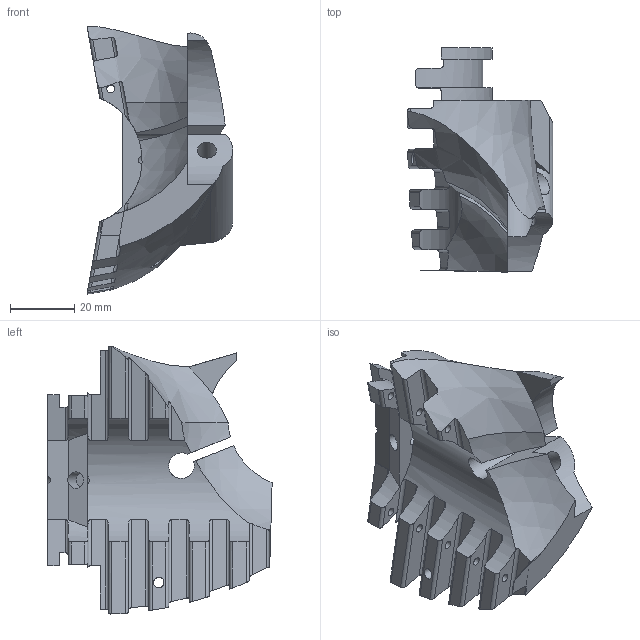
import cadquery as cq
import math


half_length = 35.0
half_height = 41.86
far = 150.0

bore_radius = 20.7
shell_back_y = 18.66
shell_back_radius = 42.0
shell_front_radius = 53.5
shell_front_center_z = 25.0
shell_sections = 5
end_face_tilt = 1.66
end_face_pivot_z = -1.2
flange_radius = 30.2
neck_radius = 27.1
neck_back_y = 31.5

joint_tilt = 10.0
joint_edge_x = 3.5
tooth_depth = 7.85
tooth_width = 6.15
tooth_pitch = 12.6
tooth_count = 6
first_tooth_y = 25.57
tooth_fillet = 1.0
neck_front_y = first_tooth_y - tooth_width / 2
joint_apex_x = joint_edge_x + half_height * math.tan(math.radians(joint_tilt))

web_flat_x = 16.6
web_ridge_x = 14.7
web_bend_y = 28.7

mouth_radius = 38.0
mouth_center_x = 3.4
mouth_center_y = -42.7
mouth_center_z = 19.2
mouth_side_x = 34.75
mouth_join_z = 17.9
mouth_lean = 0.39
mouth_lean_growth = 0.018
mouth_sections = 4
mouth_top_z = 48.0

side_arc_radius = 25.6
side_arc_y = -40.1
side_arc_z = 17.5
horn_root_y = -8.8
horn_root_z = 35.3
horn_rise = 16.0
horn_tip_y = -24.0
horn_mid_x = 40.3
horn_mid_drop = 1.8
horn_side_x = 42.7
horn_side_drop = 5.9
horn_base_x = 45.5
horn_base_drop = 16.0

boss_x = 40.9
boss_radius = 8.15
boss_angle = 34.5
boss_lead = 8.0
boss_length = boss_lead + 39.0
screw_diameter = 6.0

lower_web_reach = 12.0
lower_web_slope = -7.0
side_web_angle = 30.0
side_web_reach = 12.0
side_web_start = 23.0
side_web_end = boss_length + 8.0
bevel_x = 45.3
bevel_y = 11.6

slot_width = 2.9
slot_angle = 21.6
slot_y = -10.4
slot_z = 7.3
slot_length = 50.0
slot_overlap = 3.0
relief_diameter = 8.0
relief_y = -6.7
relief_z = 4.5

tooth_pin_diameter = 2.5
tooth_pin_x = 10.9
tooth_pin_z = 22.2
cross_hole_diameter = 3.3
cross_hole_y = 0.4
cross_hole_z = -32.0
web_hole_diameter = 5.2
web_hole_y = 26.3
web_hole_depth = 9.0
tooth_pin_front_y = -31.0
dimple_radius = 1.65
dimple_x = 17.4


def box(x_range, y_range, z_range):
    """Axis-aligned block between the given limits."""
    size = [limits[1] - limits[0] for limits in (x_range, y_range, z_range)]
    return cq.Workplane("XY").box(*size, centered=False).translate((x_range[0], y_range[0], z_range[0]))


def rod(start, direction, length, radius):
    """Solid cylinder from a start point along a direction."""
    return cq.Workplane(cq.Solid.makeCylinder(radius, length, cq.Vector(*start), cq.Vector(*direction)))


def rod_y(x, z, y_front, y_back, radius):
    return rod((x, y_front, z), (0, 1, 0), y_back - y_front, radius)


def make_shell():
    """Round shell that swells and rises ever faster toward its front end."""
    wires = []
    for index in range(shell_sections):
        travel = index / (shell_sections - 1)
        swell = travel**2
        y = shell_back_y - travel * (shell_back_y + half_length)
        radius = shell_back_radius + swell * (shell_front_radius - shell_back_radius)
        center = cq.Vector(0, y, swell * shell_front_center_z)
        wires.append(cq.Wire.makeCircle(radius, center, cq.Vector(0, -1, 0)))
    return cq.Workplane(cq.Solid.makeLoft(wires))


def make_collar():
    neck = rod_y(0, 0, shell_back_y, half_length, neck_radius)
    front_flange = rod_y(0, 0, shell_back_y, neck_front_y, flange_radius)
    back_flange = rod_y(0, 0, neck_back_y, half_length, flange_radius)
    return neck.union(front_flange).union(back_flange)


def make_rack():
    """Half space behind the toothed joint: a rack tilted one way above the bore, mirrored below."""
    floor = box((tooth_depth, far), (-far, far), (-far, far))
    rack = floor
    for index in range(tooth_count):
        center_y = first_tooth_y - index * tooth_pitch
        side = tooth_width / 2
        tooth = box((0, 2 * tooth_depth), (center_y - side, center_y + side), (-far, far))
        rack = rack.union(tooth.edges("|Z and <X").fillet(tooth_fillet))
    tooth_roots = cq.selectors.BoxSelector(
        (tooth_depth - tooth_fillet, -far / 2, -far), (tooth_depth + tooth_fillet, far / 2, far)
    )
    rack = rack.edges("|Z").edges(tooth_roots).fillet(tooth_fillet)
    rack = rack.rotate((0, 0, 0), (0, 1, 0), -joint_tilt).translate((joint_apex_x, 0, 0))
    upper = rack.intersect(box((-far, far), (-far, far), (0, far)))
    return upper.union(upper.mirror("XY"))


def make_web():
    """Plug across the back of the bore with a ramp that rises to a ridge."""
    profile = [
        (web_ridge_x, neck_front_y),
        (web_flat_x, web_bend_y),
        (web_flat_x, half_length),
        (neck_radius, half_length),
        (neck_radius, neck_front_y),
    ]
    prism = cq.Workplane("XY").polyline(profile).close().extrude(bore_radius, both=True)
    return prism.intersect(rod_y(0, 0, neck_front_y, half_length, bore_radius))


def boss_axis():
    """Start point, short of the concave side face, and direction of the screw axis."""
    angle = math.radians(boss_angle)
    direction = (0, math.cos(angle), -math.sin(angle))
    start_radius = side_arc_radius - boss_lead
    start = (
        boss_x,
        side_arc_y + start_radius * direction[1],
        side_arc_z + start_radius * direction[2],
    )
    return start, direction


def make_lower_web(start, direction):
    """Flat web that runs from the underside of the boss toward the shell."""
    plane = cq.Plane(origin=start, xDir=(1, 0, 0), normal=direction)
    web = cq.Workplane(plane).rect(lower_web_reach, boss_radius, centered=False).extrude(boss_length)
    web = web.translate((-lower_web_reach, 0, 0))
    end = tuple(s + d for s, d in zip(start, direction))
    return web.rotate(start, end, lower_web_slope)


def make_side_web(start, direction):
    """Steep web, tangent to the boss, that fills the corner between boss and shell."""
    angle = math.radians(side_web_angle)
    tangent_x = boss_radius * math.cos(angle)
    tangent_up = boss_radius * math.sin(angle)
    top_x = tangent_x - side_web_reach * math.sin(angle)
    top_up = tangent_up + side_web_reach * math.cos(angle)
    profile = [
        (-boss_radius, 0),
        (tangent_x, 0),
        (tangent_x, tangent_up),
        (top_x, top_up),
        (-boss_radius, top_up),
    ]
    plane = cq.Plane(origin=start, xDir=(-1, 0, 0), normal=direction)
    mirrored = [(-x, up) for x, up in profile]
    web = cq.Workplane(plane).workplane(offset=side_web_start).polyline(mirrored).close()
    return web.extrude(side_web_end - side_web_start)


def make_boss(start, direction):
    """Screw boss with its webs, bevelled where it meets the back of the shell."""
    boss = rod(start, direction, boss_length, boss_radius)
    boss = boss.union(make_lower_web(start, direction)).union(make_side_web(start, direction))
    boss_side_x = boss_x + boss_radius
    outline = [
        (0, -half_length),
        (boss_side_x, -half_length),
        (boss_side_x, bevel_y),
        (bevel_x, shell_back_y),
        (0, shell_back_y),
    ]
    return boss.intersect(cq.Workplane("XY").polyline(outline).close().extrude(far, both=True))


def make_mouth():
    """Ball-shaped hollow that leans backward above its join height."""
    ball = cq.Workplane("XZ").sphere(mouth_radius).rotate((0, 0, 0), (1, 0, 0), 90)
    ball = ball.translate((mouth_center_x, mouth_center_y, mouth_center_z))
    ball = ball.intersect(box((-far, far), (-far, far), (-far, mouth_join_z)))
    join_radius = math.sqrt(mouth_radius**2 - (mouth_center_z - mouth_join_z) ** 2)
    wires = []
    for index in range(mouth_sections):
        rise = (mouth_top_z - mouth_join_z) * index / (mouth_sections - 1)
        y = mouth_center_y + mouth_lean * rise + mouth_lean_growth * rise**2
        center = cq.Vector(mouth_center_x, y, mouth_join_z + rise)
        wires.append(cq.Wire.makeCircle(join_radius, center, cq.Vector(0, 0, 1)))
    funnel = cq.Workplane(cq.Solid.makeLoft(wires))
    above = box((-far, far), (-far, far), (half_height, far))
    hollow = ball.union(funnel).union(above)
    return hollow.intersect(box((-far, mouth_side_x), (-far, far), (-far, far)))


def make_horn_trim():
    """Waste above the horn, whose rounded back climbs toward its tip."""
    profile = (
        cq.Workplane("XZ")
        .moveTo(mouth_side_x, 0)
        .threePointArc((horn_mid_x, -horn_mid_drop), (horn_side_x, -horn_side_drop))
        .lineTo(horn_base_x, -horn_base_drop)
        .lineTo(far, -horn_base_drop)
        .lineTo(far, far)
        .lineTo(mouth_side_x, far)
        .close()
    )
    trim = profile.extrude(half_length).rotate((0, 0, 0), (1, 0, 0), -horn_rise)
    return trim.translate((0, horn_root_y, horn_root_z))


def cut_front(body):
    """Trim the concave side face, the horn and the tilted end face."""
    side = rod((mouth_side_x, side_arc_y, side_arc_z), (1, 0, 0), far, side_arc_radius)
    body = body.cut(side)
    body = body.cut(make_horn_trim())
    body = body.cut(box((-far, far), (-far, horn_tip_y), (side_arc_z, far)))
    beyond_end = box((-far, far), (-far, 0), (-far, far)).rotate((0, 0, 0), (1, 0, 0), end_face_tilt)
    return body.cut(beyond_end.translate((0, -half_length, end_face_pivot_z)))


def cut_slot(body):
    slot = box((-far, far), (-slot_length, slot_overlap), (-slot_width / 2, slot_width / 2))
    slot = slot.rotate((0, 0, 0), (1, 0, 0), -slot_angle).translate((0, slot_y, slot_z))
    relief = rod((0, relief_y, relief_z), (1, 0, 0), far, relief_diameter / 2)
    return body.cut(slot).cut(relief)


def cut_holes(body):
    for z in (tooth_pin_z, -tooth_pin_z):
        body = body.cut(rod_y(tooth_pin_x, z, tooth_pin_front_y, half_length, tooth_pin_diameter / 2))
    body = body.cut(rod((0, cross_hole_y, cross_hole_z), (1, 0, 0), far, cross_hole_diameter / 2))
    return body


def cut_web_features(body):
    """Blind hole square to the web ramp and a conical dimple in the back face."""
    ramp_rise = web_flat_x - web_ridge_x
    ramp_run = web_bend_y - neck_front_y
    hole_x = web_ridge_x + (web_hole_y - neck_front_y) * ramp_rise / ramp_run
    inward = cq.Vector(ramp_run, -ramp_rise, 0).normalized()
    start = cq.Vector(hole_x, web_hole_y, 0) - inward
    hole = rod(start.toTuple(), inward.toTuple(), web_hole_depth + 1, web_hole_diameter / 2)
    dimple_base = cq.Vector(dimple_x, half_length, 0)
    dimple = cq.Solid.makeCone(dimple_radius, 0, dimple_radius, dimple_base, cq.Vector(0, -1, 0))
    return body.cut(hole).cut(cq.Workplane(dimple))


boss_start, boss_direction = boss_axis()
mouth = make_mouth()
bore = rod_y(0, 0, -far, far, bore_radius)
result = make_shell().union(make_collar()).cut(mouth)
result = result.union(make_boss(boss_start, boss_direction).cut(mouth))
result = result.cut(bore)
result = cut_front(result)
result = result.intersect(make_rack())
result = result.union(make_web())
result = cut_slot(result)
result = cut_holes(result)
result = cut_web_features(result)
result = result.cut(rod(boss_start, boss_direction, boss_length, screw_diameter / 2))